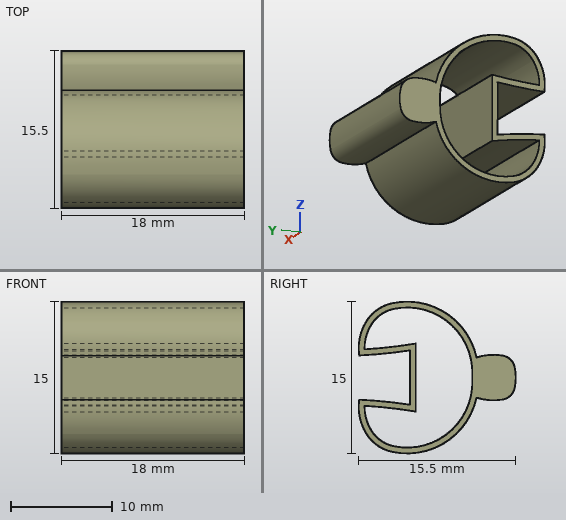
import cadquery as cq
import math

LENGTH = 18.0
WALL = 0.6

HALF_HEIGHT = 7.485
MAIN_RADIUS = 7.0
SHOULDER_RADIUS = 4.0
LIP_RADIUS = 5.0
SHOULDER_START = math.radians(102.2)
LIP_START = math.radians(147.9)
SEAM_HALF = 0.26
LIP_END_HEIGHT = 1.0

NOTCH_FLOOR_Y = 0.26
NOTCH_WALL_RADIUS = 50.0
NOTCH_THROAT_Y = -7.2
NOTCH_THROAT_HALF = 2.1

KNOB_TIP_Y = 10.70
KNOB_TIP_RADIUS = 5.0
KNOB_CORNER_RADIUS = 1.5
KNOB_FLANK_RADIUS = 5.5
KNOB_CORNER_START = math.radians(11.6)
KNOB_FLANK_START = math.radians(81.0)
KNOB_ROOT_Y = 6.6


def polar(center, radius, angle):
    return (center[0] + radius * math.cos(angle), center[1] + radius * math.sin(angle))


def arc_points(center, radius, start, end):
    """Middle and end point of an arc."""
    return polar(center, radius, (start + end) / 2), polar(center, radius, end)


def mirrored(point):
    return (point[0], -point[1])


def mirrored_section(start, segments, closing_middle=None):
    """Extrude the section bounded by an upper half outline and its mirror image.

    Each segment is the middle and end point of an arc; a line joins the last end to its mirror.
    A straight line closes the section unless closing_middle puts an arc there.
    """
    sketch = cq.Workplane("YZ").workplane(offset=-LENGTH / 2).moveTo(*start)
    for middle, end in segments:
        sketch = sketch.threePointArc(middle, end)
    ends = [start] + [end for _, end in segments]
    sketch = sketch.lineTo(*mirrored(ends[-1]))
    for (middle, _), target in reversed(list(zip(segments, ends))):
        sketch = sketch.threePointArc(mirrored(middle), mirrored(target))
    if closing_middle is not None:
        sketch = sketch.threePointArc(closing_middle, start)
    return sketch.close().extrude(LENGTH)


def lobed_body(inset):
    """Full shell shape without its notch, offset inwards by inset."""
    main_center = (0, HALF_HEIGHT - MAIN_RADIUS)
    shoulder_center = polar(main_center, MAIN_RADIUS - SHOULDER_RADIUS, SHOULDER_START)
    lip_center = polar(shoulder_center, SHOULDER_RADIUS - LIP_RADIUS, LIP_START)

    main_radius = MAIN_RADIUS - inset
    lip_radius = LIP_RADIUS - inset
    main_start = math.asin((SEAM_HALF - main_center[1]) / main_radius)
    lip_end = math.pi + math.asin((lip_center[1] - LIP_END_HEIGHT) / lip_radius)
    return mirrored_section(
        polar(main_center, main_radius, main_start),
        [
            arc_points(main_center, main_radius, main_start, SHOULDER_START),
            arc_points(shoulder_center, SHOULDER_RADIUS - inset, SHOULDER_START, LIP_START),
            arc_points(lip_center, lip_radius, LIP_START, lip_end),
        ],
    )


def notch(growth):
    """Notch space, offset outwards by growth."""
    radius = NOTCH_WALL_RADIUS - growth
    center_z = NOTCH_THROAT_HALF + NOTCH_WALL_RADIUS
    floor_y = NOTCH_FLOOR_Y + growth

    def wall_point(y):
        return (y, center_z - math.sqrt(radius**2 - (y - NOTCH_THROAT_Y) ** 2))

    middle_y = (floor_y + NOTCH_THROAT_Y) / 2
    return mirrored_section(
        wall_point(floor_y),
        [(wall_point(middle_y), wall_point(NOTCH_THROAT_Y))],
    )


def knob():
    """Rail with a slightly crowned tip, round corners and gently curved flanks."""
    tip_center = (KNOB_TIP_Y - KNOB_TIP_RADIUS, 0)
    corner_center = polar(tip_center, KNOB_TIP_RADIUS - KNOB_CORNER_RADIUS, KNOB_CORNER_START)
    flank_center = polar(corner_center, KNOB_CORNER_RADIUS - KNOB_FLANK_RADIUS, KNOB_FLANK_START)
    flank_end = math.acos((KNOB_ROOT_Y - flank_center[0]) / KNOB_FLANK_RADIUS)

    return mirrored_section(
        polar(tip_center, KNOB_TIP_RADIUS, KNOB_CORNER_START),
        [
            arc_points(corner_center, KNOB_CORNER_RADIUS, KNOB_CORNER_START, KNOB_FLANK_START),
            arc_points(flank_center, KNOB_FLANK_RADIUS, KNOB_FLANK_START, flank_end),
        ],
        closing_middle=(KNOB_TIP_Y, 0),
    )


cavity = lobed_body(WALL).cut(notch(WALL))
result = lobed_body(0).union(knob()).cut(notch(0)).cut(cavity)